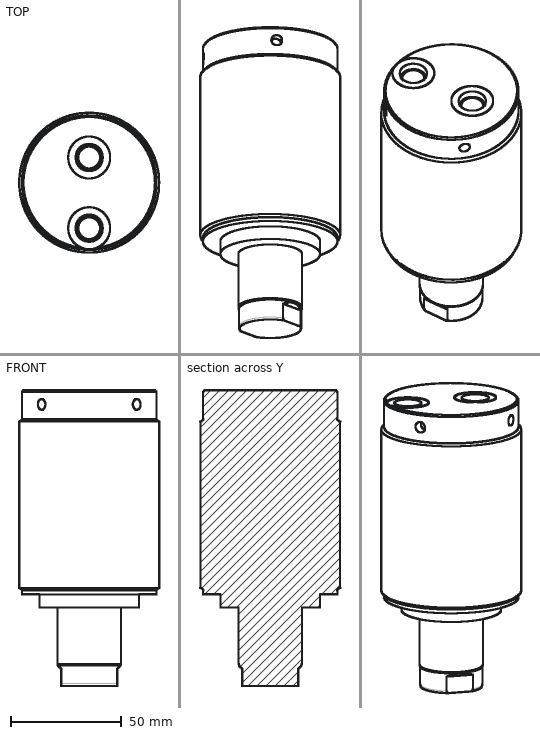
import cadquery as cq
import math

total_height = 133.5
body_radius = 31.6

rod_radius = 14.4
rod_end_radius = 14.1
rod_step_top = 10.0
rod_step_bottom = 9.3
rod_end_chamfer_width = 0.3
rod_end_chamfer_height = 1.1
flat_distance = 12.7
flat_top = 7.7

flange_radius = 22.5
flange_bottom = 35.4
body_bottom = 41.4
body_end_radius = 30.5
body_lower_groove_radius = 30.2
body_lower_groove_z = 43.4
end_ring_top = 43.1
body_lower_edge = 44.3
body_upper_edge = 119.3
neck_z = 120.3
neck_radius = 30.2
neck_top = 120.5

cap_radius = 30.5
cap_chamfer = 0.8

port_positions = [(0, 11.3), (0, -20.5)]
spotface_radius = 9.5
spotface_depth = 0.3
port_mouth_radius = 6.1
port_seat_radius = 5.6
port_seat_depth = 3.2
port_bore_radius = 5.0
port_bore_depth = 12.0

spanner_hole_radius = 2.4
spanner_hole_depth = 5.3
spanner_hole_z = 127.1
spanner_hole_count = 4
first_spanner_angle = 45


def turned_body():
    """Revolve the stepped half profile, given as (radius, height), about Z."""
    cap_outline = [
        (0, 0),
        (0, total_height),
        (cap_radius - cap_chamfer, total_height),
        (cap_radius, total_height - cap_chamfer),
        (cap_radius, neck_top),
    ]
    lower_outline = [
        (neck_radius, neck_z),
        (body_radius, body_upper_edge),
        (body_radius, body_lower_edge),
        (body_lower_groove_radius, body_lower_groove_z),
        (body_end_radius, end_ring_top),
        (body_end_radius, body_bottom),
        (flange_radius, body_bottom),
        (flange_radius, flange_bottom),
        (rod_radius, flange_bottom),
        (rod_radius, rod_step_top),
        (rod_end_radius, rod_step_bottom),
        (rod_end_radius, rod_end_chamfer_height),
        (rod_end_radius - rod_end_chamfer_width, 0),
    ]
    outline = cap_outline + lower_outline
    return cq.Workplane("XZ").polyline(outline).close().revolve(360, (0, 0), (0, 1))


def flat_cutter():
    """Material outside the +X wrench flat, with a 45 degree run-out at its top."""
    runout = rod_radius - flat_distance
    profile = [
        (flat_distance, 0),
        (rod_radius, 0),
        (rod_radius, flat_top + runout),
        (flat_distance, flat_top),
    ]
    return cq.Workplane("XZ").polyline(profile).close().extrude(rod_radius, both=True)


def port_cutter(x, y):
    """Shallow spotface, tapered mouth and narrower blind bore, revolved about the port axis."""
    outline = [
        (0, 0),
        (spotface_radius, 0),
        (spotface_radius, -spotface_depth),
        (port_mouth_radius, -spotface_depth),
        (port_seat_radius, -port_seat_depth),
        (port_bore_radius, -port_seat_depth),
        (port_bore_radius, -port_bore_depth),
        (0, -port_bore_depth),
    ]
    cutter = cq.Workplane("XZ").polyline(outline).close().revolve(360, (0, 0), (0, 1))
    return cutter.translate((x, y, total_height))


def spanner_hole(angle):
    """Blind radial hole drilled into the cap side at the given angle."""
    direction = cq.Vector(math.cos(math.radians(angle)), math.sin(math.radians(angle)), 0)
    bottom = direction * (cap_radius - spanner_hole_depth) + cq.Vector(0, 0, spanner_hole_z)
    plane = cq.Plane(origin=bottom, normal=direction)
    return cq.Workplane(plane).circle(spanner_hole_radius).extrude(2 * spanner_hole_depth)


result = turned_body()

for flat_angle in (0, 180):
    result = result.cut(flat_cutter().rotate((0, 0, 0), (0, 0, 1), flat_angle))

for port_x, port_y in port_positions:
    result = result.cut(port_cutter(port_x, port_y))

for index in range(spanner_hole_count):
    result = result.cut(spanner_hole(first_spanner_angle + index * 360 / spanner_hole_count))